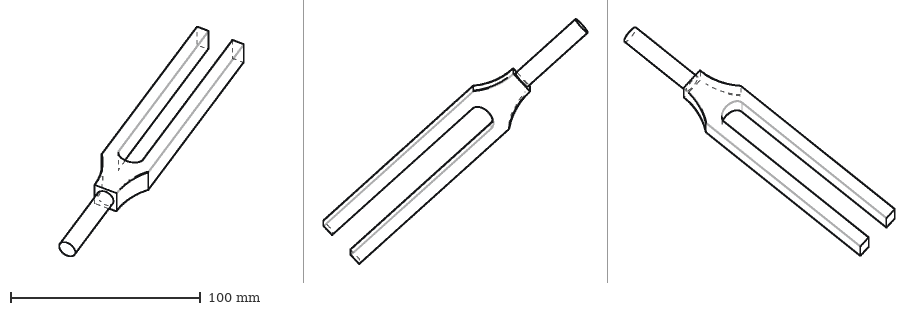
import cadquery as cq
import math

BODY_WIDTH = 28.15
BODY_THICKNESS = 13.77
BODY_LENGTH = 129.3
NECK_WIDTH = 13.3
NECK_LENGTH = 21.8
EDGE_ROUND = 0.4

GAP_WIDTH = 14.15
GAP_ROUND_DEPTH = 4.8
GAP_BOTTOM = 23.9

STEM_DIAMETER = 9.7
STEM_LENGTH = 43.0

HALF_BODY = BODY_WIDTH / 2
HALF_NECK = NECK_WIDTH / 2
HALF_GAP = GAP_WIDTH / 2

FLARE = HALF_BODY - HALF_NECK
FLANK_RADIUS = (NECK_LENGTH**2 + FLARE**2) / (2 * FLARE)


def flank_point(y):
    """Point on the right-hand flank at a distance y from the stem face."""
    x = HALF_NECK + FLANK_RADIUS - math.sqrt(FLANK_RADIUS**2 - y**2)
    return x, y


def mirrored(point):
    return -point[0], point[1]


def make_body():
    flank_middle = flank_point(NECK_LENGTH / 2)
    outline = (
        cq.Workplane("XY")
        .workplane(offset=-BODY_THICKNESS / 2)
        .moveTo(-HALF_NECK, 0)
        .lineTo(HALF_NECK, 0)
        .threePointArc(flank_middle, (HALF_BODY, NECK_LENGTH))
        .lineTo(HALF_BODY, BODY_LENGTH)
        .lineTo(-HALF_BODY, BODY_LENGTH)
        .lineTo(-HALF_BODY, NECK_LENGTH)
        .threePointArc(mirrored(flank_middle), (-HALF_NECK, 0))
        .close()
    )
    return outline.extrude(BODY_THICKNESS)


def make_gap():
    round_start = GAP_BOTTOM + GAP_ROUND_DEPTH
    straight_length = BODY_LENGTH - round_start
    straight = (
        cq.Workplane("XY")
        .box(GAP_WIDTH, straight_length, BODY_THICKNESS, centered=(True, False, True))
        .translate((0, round_start, 0))
    )
    rounded = (
        cq.Workplane("XY")
        .workplane(offset=-BODY_THICKNESS / 2)
        .center(0, round_start)
        .ellipse(HALF_GAP, GAP_ROUND_DEPTH)
        .extrude(BODY_THICKNESS)
    )
    return straight.union(rounded)


def round_long_edges(fork):
    """Round the top and bottom edges, except those of the flat tine tips and stem face."""
    return fork.faces("|Z").edges("not |X").fillet(EDGE_ROUND)


def make_stem():
    return cq.Workplane("XZ").circle(STEM_DIAMETER / 2).extrude(STEM_LENGTH)


fork = round_long_edges(make_body().cut(make_gap()))
result = fork.union(make_stem())